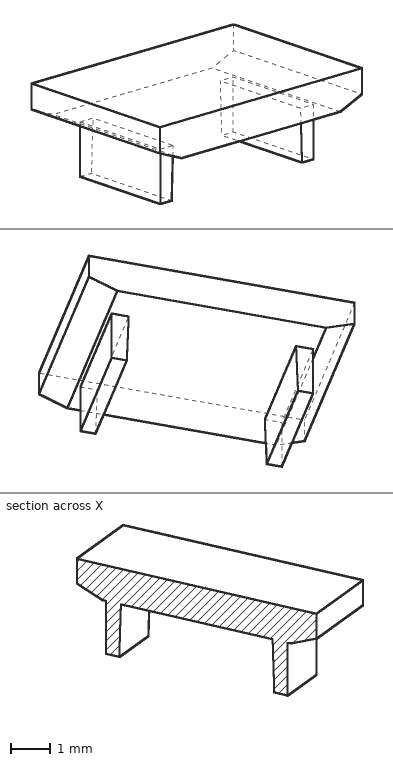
import cadquery as cq

length = 7.0
width = 4.8
total_height = 2.47
plate_thickness = 1.0
edge_height = 0.7
bevel_run = 0.75

leg_width = 3.0
leg_inset = 0.85
leg_root_thickness = 0.45
leg_tip_thickness = 0.4

top_z = total_height / 2
plate_bottom_z = top_z - plate_thickness
leg_tip_z = -total_height / 2
end_y = length / 2


def extrude_across(profile, across):
    """Extrude a closed YZ outline symmetrically along X."""
    return cq.Workplane("YZ").polyline(profile).close().extrude(across / 2, both=True)


def make_plate():
    """Rectangular plate with a sloping bevel under each end."""
    edge_bottom_z = top_z - edge_height
    bevel_y = end_y - bevel_run
    profile = [
        (-end_y, top_z),
        (end_y, top_z),
        (end_y, edge_bottom_z),
        (bevel_y, plate_bottom_z),
        (-bevel_y, plate_bottom_z),
        (-end_y, edge_bottom_z),
    ]
    return extrude_across(profile, width)


def make_leg(side):
    """Leg with an upright outer face and a tapered inner face."""
    outer_y = end_y - leg_inset
    profile = [
        (side * outer_y, plate_bottom_z),
        (side * outer_y, leg_tip_z),
        (side * (outer_y - leg_tip_thickness), leg_tip_z),
        (side * (outer_y - leg_root_thickness), plate_bottom_z),
    ]
    return extrude_across(profile, leg_width)


result = make_plate()
for side in (-1, 1):
    result = result.union(make_leg(side))